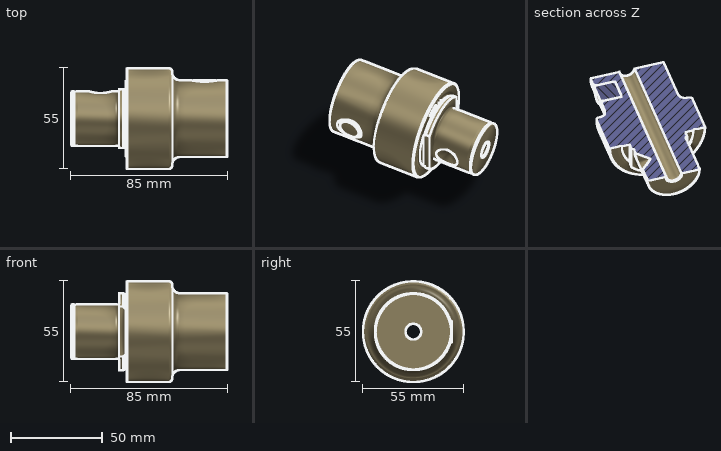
import cadquery as cq
import math


overall_length = 85.0
collar_front_x = 26.0
flange_front_x = 30.0
flange_rear_x = 55.0

shank_radius = 15.0
collar_radius = 21.0
flange_radius = 27.5
neck_radius = 21.0
bore_radius = 4.2

shank_end_fillet = 1.0
flange_chamfer = 0.5
flange_fillet = 2.0
neck_blend_radius = 4.0
neck_end_chamfer = 0.5
bore_chamfer = 0.5

relief_bottom_x = 1.9
relief_end_x = 3.9
relief_depth = 0.25

shank_undercut_start_x = 24.15
shank_undercut_bottom_x = 24.9
shank_undercut_depth = 0.2
shank_undercut_fillet = 0.7

collar_undercut_start_x = 28.25
collar_undercut_bottom_x = 29.3
collar_undercut_depth = 0.6
collar_undercut_fillet = 0.9
collar_fillet_start_x = 29.4
face_groove_radius = 22.7

flat_distance = 16.0
flat_end_x = 29.65

seat_x = 15.9
seat_radius = 6.5

screw_x = 72.5
screw_radius = 6.0
screw_length = 12.0
screw_chamfer = 0.4
screw_countersink_radius = 7.5

ARC_MIDDLE = math.sqrt(0.5)


def turned_body():
    """Outer profile revolved about the X axis."""
    relief_radius = shank_radius - relief_depth

    shank_root_radius = shank_radius - shank_undercut_depth
    shank_fillet_x = collar_front_x - shank_undercut_fillet
    shank_fillet_centre_radius = shank_root_radius + shank_undercut_fillet

    collar_root_radius = collar_radius - collar_undercut_depth
    groove_bottom_x = collar_fillet_start_x + collar_undercut_fillet
    collar_fillet_centre_radius = collar_root_radius + collar_undercut_fillet

    flange_fillet_x = flange_rear_x - flange_fillet
    flange_fillet_centre_radius = flange_radius - flange_fillet
    neck_start_x = flange_rear_x + neck_blend_radius
    neck_blend_centre_radius = neck_radius + neck_blend_radius

    profile = (
        cq.Workplane("XZ")
        .moveTo(0, 0)
        .lineTo(0, shank_radius - shank_end_fillet)
        .threePointArc(
            (
                shank_end_fillet * (1 - ARC_MIDDLE),
                shank_radius - shank_end_fillet * (1 - ARC_MIDDLE),
            ),
            (shank_end_fillet, shank_radius),
        )
        .lineTo(relief_bottom_x, relief_radius)
        .lineTo(relief_end_x, shank_radius)
        .lineTo(shank_undercut_start_x, shank_radius)
        .lineTo(shank_undercut_bottom_x, shank_root_radius)
        .lineTo(shank_fillet_x, shank_root_radius)
        .threePointArc(
            (
                shank_fillet_x + shank_undercut_fillet * ARC_MIDDLE,
                shank_fillet_centre_radius - shank_undercut_fillet * ARC_MIDDLE,
            ),
            (collar_front_x, shank_fillet_centre_radius),
        )
        .lineTo(collar_front_x, collar_radius)
        .lineTo(collar_undercut_start_x, collar_radius)
        .lineTo(collar_undercut_bottom_x, collar_root_radius)
        .lineTo(collar_fillet_start_x, collar_root_radius)
        .threePointArc(
            (
                collar_fillet_start_x + collar_undercut_fillet * ARC_MIDDLE,
                collar_fillet_centre_radius - collar_undercut_fillet * ARC_MIDDLE,
            ),
            (groove_bottom_x, collar_fillet_centre_radius),
        )
        .lineTo(flange_front_x, face_groove_radius)
        .lineTo(flange_front_x, flange_radius - flange_chamfer)
        .lineTo(flange_front_x + flange_chamfer, flange_radius)
        .lineTo(flange_fillet_x, flange_radius)
        .threePointArc(
            (
                flange_fillet_x + flange_fillet * ARC_MIDDLE,
                flange_fillet_centre_radius + flange_fillet * ARC_MIDDLE,
            ),
            (flange_rear_x, flange_fillet_centre_radius),
        )
        .lineTo(flange_rear_x, neck_blend_centre_radius)
        .threePointArc(
            (
                neck_start_x - neck_blend_radius * ARC_MIDDLE,
                neck_blend_centre_radius - neck_blend_radius * ARC_MIDDLE,
            ),
            (neck_start_x, neck_radius),
        )
        .lineTo(overall_length - neck_end_chamfer, neck_radius)
        .lineTo(overall_length, neck_radius - neck_end_chamfer)
        .lineTo(overall_length, 0)
        .close()
    )
    return profile.revolve(360, (0, 0, 0), (1, 0, 0))


def through_bore():
    """Axial bore with a chamfered mouth at the shank end."""
    profile = (
        cq.Workplane("XZ")
        .moveTo(0, 0)
        .lineTo(0, bore_radius + bore_chamfer)
        .lineTo(bore_chamfer, bore_radius)
        .lineTo(overall_length, bore_radius)
        .lineTo(overall_length, 0)
        .close()
    )
    return profile.revolve(360, (0, 0, 0), (1, 0, 0))


def wrench_flat(side):
    """Block that trims the collar on the +Y (side = 1) or -Y (side = -1) side."""
    flat_length = flat_end_x - collar_front_x
    block_height = flange_radius - flat_distance
    return cq.Workplane("XY").box(flat_length, block_height, 2 * flange_radius).translate(
        (collar_front_x + flat_length / 2, side * (flat_distance + block_height / 2), 0)
    )


def radial_cone(x, surface_radius, cone_radius):
    """90 degree cone sunk along -Y to its tip, widening above the surface to clear it."""
    clearance = 1.0
    cone = cq.Solid.makeCone(
        cone_radius + clearance,
        0,
        cone_radius + clearance,
        cq.Vector(x, surface_radius + clearance, 0),
        cq.Vector(0, -1, 0),
    )
    return cq.Workplane(cone)


def screw_blank():
    """Plain cylinder along Y that gives both the screw and its blind hole."""
    blank = cq.Solid.makeCylinder(
        screw_radius,
        screw_length,
        cq.Vector(screw_x, neck_radius - screw_length, 0),
        cq.Vector(0, 1, 0),
    )
    return cq.Workplane(blank)


def clamping_screw():
    """Screw whose chamfered outer end is level with the top of the neck."""
    return screw_blank().faces(">Y").chamfer(screw_chamfer)


adapter = turned_body().cut(through_bore())
for side in (1, -1):
    adapter = adapter.cut(wrench_flat(side))
adapter = adapter.cut(radial_cone(seat_x, shank_radius, seat_radius))
adapter = adapter.cut(screw_blank())
adapter = adapter.cut(radial_cone(screw_x, neck_radius, screw_countersink_radius))

screw = clamping_screw()

result = cq.Compound.makeCompound([adapter.solids().val(), screw.solids().val()])